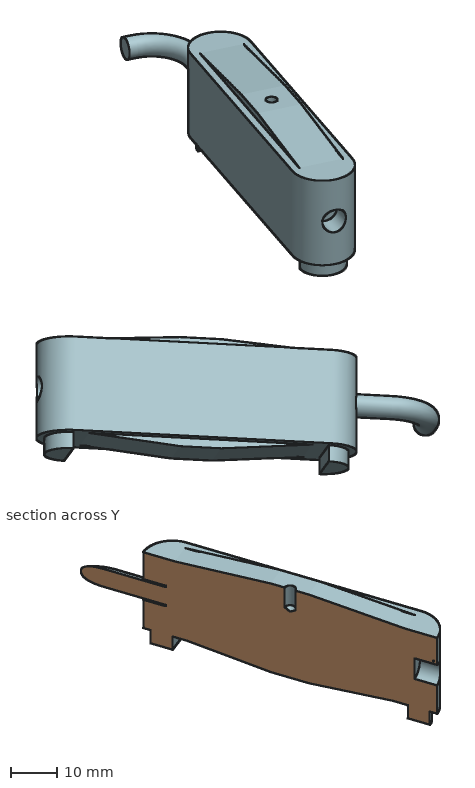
import cadquery as cq
import math

body_width = 14.0
body_straight = 56.0
body_height = 20.9
body_length = body_straight + body_width
end_centre_x = body_straight / 2

frame_width = 10.3
frame_flat = 9.0
top_rise = 1.6
top_half_span = 27.4
bottom_drop = 1.9
bottom_half_span = 24.5
mount_hole_diameter = 2.5
mount_hole_depth = 5.4
drill_point_angle = 118

foot_radius = 5.3
foot_height = 3.6

cable_diameter = 5.0
cable_z = 10.6
cable_bend_radius = 10.0
cable_run = 7.5
cable_tail = 2.0
cable_hole_diameter = 5.5
cable_hole_depth = 5.4


def make_housing():
    return cq.Workplane("XY").slot2D(body_length, body_width).extrude(body_height)


def make_bow(face_z, rise, half_span):
    """Trapezoid ridge on a housing face; a negative rise points down."""
    outline = [
        (-half_span, face_z),
        (-frame_flat / 2, face_z + rise),
        (frame_flat / 2, face_z + rise),
        (half_span, face_z),
    ]
    return cq.Workplane("XZ").polyline(outline).close().extrude(frame_width / 2, both=True)


def make_foot(side):
    """Half disc whose flat edge faces the middle of the part."""
    start = (side * end_centre_x, -foot_radius)
    tip = (side * (end_centre_x + foot_radius), 0)
    end = (side * end_centre_x, foot_radius)
    profile = cq.Workplane("XY").moveTo(*start).threePointArc(tip, end).close()
    return profile.extrude(-foot_height)


def make_cable_hole(side):
    start_x = side * (body_length / 2 - cable_hole_depth)
    plane = cq.Workplane("YZ", origin=(start_x, 0, cable_z))
    return plane.circle(cable_hole_diameter / 2).extrude(side * cable_hole_depth)


def make_cable():
    """Cable leaving the -X end, then bending a quarter turn toward -Y."""
    root_x = -body_length / 2 + cable_hole_depth
    bend_x = -body_length / 2 - cable_run
    tail_x = bend_x - cable_bend_radius
    path = (
        cq.Workplane("XY", origin=(0, 0, cable_z))
        .moveTo(root_x, 0)
        .lineTo(bend_x, 0)
        .tangentArcPoint((tail_x, -cable_bend_radius), relative=False)
        .lineTo(tail_x, -cable_bend_radius - cable_tail)
    )
    section = cq.Workplane("YZ", origin=(root_x, 0, cable_z)).circle(cable_diameter / 2)
    return section.sweep(path)


def make_mount_hole():
    """Blind drilled hole with a conical bottom, in the middle of the top flat."""
    top_z = body_height + top_rise
    shoulder_z = top_z - mount_hole_depth
    radius = mount_hole_diameter / 2
    tip_z = shoulder_z - radius / math.tan(math.radians(drill_point_angle / 2))
    half_profile = [(0, top_z), (radius, top_z), (radius, shoulder_z), (0, tip_z)]
    return cq.Workplane("XZ").polyline(half_profile).close().revolve(360, (0, 0, 0), (0, 1, 0))


result = make_housing()
result = result.union(make_bow(body_height, top_rise, top_half_span))
result = result.union(make_bow(0, -bottom_drop, bottom_half_span))
for side in (-1, 1):
    result = result.union(make_foot(side))
    result = result.cut(make_cable_hole(side))
result = result.union(make_cable())
result = result.cut(make_mount_hole())